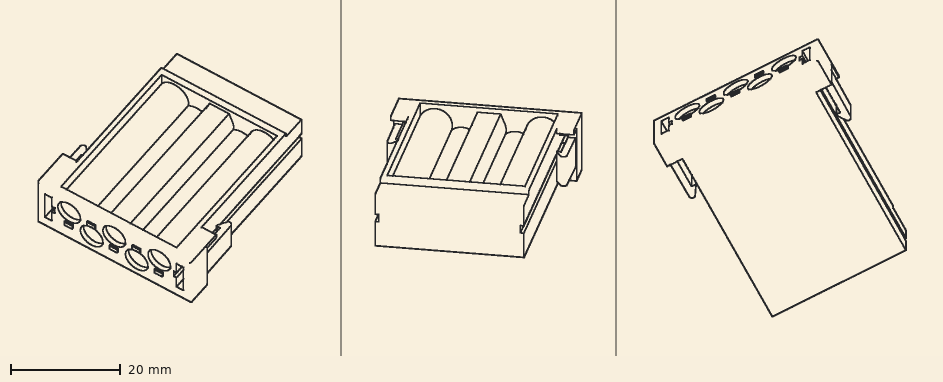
import cadquery as cq
import math


TOTAL_LENGTH = 40.6
MARK_HEIGHT = 0.32
BODY_LENGTH = TOTAL_LENGTH - MARK_HEIGHT
HEIGHT = 11.4
TOP = HEIGHT / 2
BODY_WIDTH = 27.6
HEAD_WIDTH = 34.0
EDGE_RADIUS = 0.3

WING_DEPTH = 5.3
LIP_REACH = 8.32
LIP_THICKNESS = 0.95
LIP_RADIUS = 0.45

STEP_Y = 35.3
STEP_DROP = 0.95

PITCH = 5.0
CONTACT_COUNT = 5
ROW_Z = 1.65
RECESS_DIAMETER = 5.0
RECESS_DEPTH = 1.0
MARK_WIDTH = 1.75
MARK_TALL = 0.9

POCKET_WIDTH = 25.58
POCKET_FRONT = 1.5
POCKET_BACK = 33.78
POCKET_LENGTH = POCKET_BACK - POCKET_FRONT
POCKET_FLOOR = 0.4
TUBE_DIAMETER = 6.35
TUBE_RADIUS = TUBE_DIAMETER / 2
RIDGE_HALF_WIDTH = 2.15
RIDGE_TOP = TOP - STEP_DROP

GROOVE_HEIGHT = 1.42
GROOVE_DEPTH = 0.65
SLOT_WIDTH = 1.55
SLOT_HEIGHT = 6.55

ARM_OUTER = 16.75
ARM_INNER = BODY_WIDTH / 2 + SLOT_WIDTH
ARM_HEIGHT = 5.9
HOOK_TIP = 14.55
HOOK_Y = 11.77
HOOK_LAND = 0.2
ARM_END = 13.9
NOSE_OUTER = (16.7, 13.2)
NOSE_INNER = (15.55, 13.6)
NOSE_TIP_X = 16.1


def block(width, y_start, y_end, z_low, z_high, x_centre=0.0):
    """Box given by its X width and centre and by its Y and Z limits."""
    return (
        cq.Workplane("XY")
        .box(width, y_end - y_start, z_high - z_low, centered=(True, False, False))
        .translate((x_centre, y_start, z_low))
    )


def contact_position(index):
    """X and Z of a contact; even ones lie in the upper row, odd ones in the lower row."""
    x = (index - (CONTACT_COUNT - 1) / 2) * PITCH
    z = ROW_Z if index % 2 == 0 else -ROW_Z
    return x, z


def rod(diameter, y_start, y_end, x, z):
    """Cylinder along Y."""
    return (
        cq.Workplane("XZ", origin=(x, y_start, z))
        .circle(diameter / 2)
        .extrude(y_start - y_end)
    )


def make_housing():
    body = block(BODY_WIDTH, 0, BODY_LENGTH, -TOP, TOP)
    body = body.cut(block(BODY_WIDTH, STEP_Y, BODY_LENGTH, TOP - STEP_DROP, TOP))
    body = body.edges("|X and >Y").fillet(EDGE_RADIUS)
    step_edge = cq.selectors.NearestToPointSelector((0, STEP_Y, TOP))
    body = body.edges(step_edge).fillet(EDGE_RADIUS)

    wings = block(HEAD_WIDTH, 0, WING_DEPTH, -TOP, TOP)
    wings = wings.faces("<Y").edges().fillet(EDGE_RADIUS)
    lip = block(HEAD_WIDTH, WING_DEPTH, LIP_REACH, TOP - LIP_THICKNESS, TOP)
    lip = lip.edges("|X and >Y").fillet(LIP_RADIUS)

    front_strip = block(BODY_WIDTH, 0, WING_DEPTH, -TOP, TOP)
    return body.cut(front_strip).union(wings).union(lip)


def make_pocket():
    """Space above and between the tubes."""
    pocket = block(POCKET_WIDTH, POCKET_FRONT, POCKET_BACK, POCKET_FLOOR, TOP)
    for index in range(CONTACT_COUNT):
        pocket = pocket.cut(rod(TUBE_DIAMETER, POCKET_FRONT, POCKET_BACK, *contact_position(index)))
    above_ridge = block(2 * RIDGE_HALF_WIDTH, POCKET_FRONT, POCKET_BACK, RIDGE_TOP, TOP)
    return pocket.cut(make_ridge()).union(above_ridge)


def make_ridge():
    """Flat-topped ridge whose sloping sides run tangent into the middle tube."""
    rise = RIDGE_TOP - ROW_Z
    corner_distance = math.hypot(RIDGE_HALF_WIDTH, rise)
    corner_angle = math.atan2(rise, RIDGE_HALF_WIDTH)
    tangent_angle = corner_angle - math.acos(TUBE_RADIUS / corner_distance)
    tangent_x = TUBE_RADIUS * math.cos(tangent_angle)
    tangent_z = ROW_Z + TUBE_RADIUS * math.sin(tangent_angle)
    return (
        cq.Workplane("XZ", origin=(0, POCKET_FRONT, 0))
        .polyline([
            (-tangent_x, tangent_z),
            (-RIDGE_HALF_WIDTH, RIDGE_TOP),
            (RIDGE_HALF_WIDTH, RIDGE_TOP),
            (tangent_x, tangent_z),
        ])
        .close()
        .extrude(-POCKET_LENGTH)
    )


def make_latch_opening(side):
    """Slot through the wing, and the groove along the whole body side next to it."""
    wall = BODY_WIDTH / 2
    slot = block(
        SLOT_WIDTH, 0, WING_DEPTH, -SLOT_HEIGHT / 2, SLOT_HEIGHT / 2, side * (wall + SLOT_WIDTH / 2)
    )
    groove = block(
        GROOVE_DEPTH, 0, BODY_LENGTH, -GROOVE_HEIGHT / 2, GROOVE_HEIGHT / 2, side * (wall - GROOVE_DEPTH / 2)
    )
    return slot.union(groove)


def make_latch_arm(side):
    """Arm behind the wing, ending in an inward hook with a rounded nose."""
    arm = (
        cq.Workplane("XY", origin=(0, 0, -ARM_HEIGHT / 2))
        .moveTo(ARM_INNER, WING_DEPTH)
        .lineTo(ARM_OUTER, WING_DEPTH)
        .lineTo(*NOSE_OUTER)
        .threePointArc((NOSE_TIP_X, ARM_END), NOSE_INNER)
        .lineTo(HOOK_TIP, HOOK_Y + HOOK_LAND)
        .lineTo(HOOK_TIP, HOOK_Y)
        .lineTo(ARM_INNER, HOOK_Y)
        .close()
        .extrude(ARM_HEIGHT)
    )
    return arm if side > 0 else arm.mirror("YZ")


result = make_housing().cut(make_pocket())

for side in (-1, 1):
    result = result.cut(make_latch_opening(side)).union(make_latch_arm(side))

for index in range(CONTACT_COUNT):
    x, z = contact_position(index)
    result = result.cut(rod(RECESS_DIAMETER, 0, RECESS_DEPTH, x, z))
    mark = block(MARK_WIDTH, -MARK_HEIGHT, 0, -z - MARK_TALL / 2, -z + MARK_TALL / 2, x)
    result = result.union(mark)